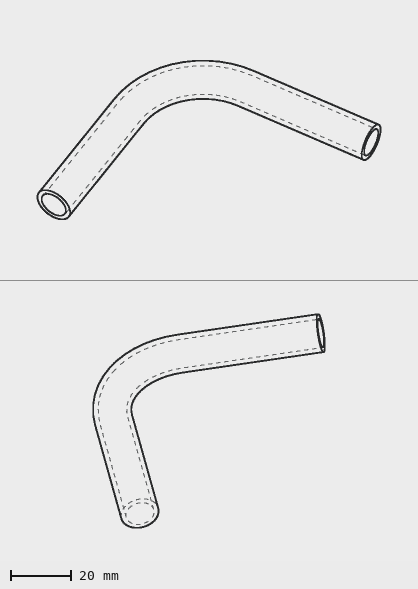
import cadquery as cq
import math

outer_diameter = 12.7
bore_diameter = 9.4
leg_length = 47.6
bend_radius = 28.6
bend_angle = 88.0


def point_on_bend(turn_degrees):
    """Centreline point after turning through the given angle; the bend starts at (0, leg_length)."""
    turn = math.radians(turn_degrees)
    x = bend_radius * (1 - math.cos(turn))
    y = leg_length + bend_radius * math.sin(turn)
    return (x, y)


def make_centreline():
    bend_end_x, bend_end_y = point_on_bend(bend_angle)
    turn = math.radians(bend_angle)
    tube_end = (
        bend_end_x + leg_length * math.sin(turn),
        bend_end_y + leg_length * math.cos(turn),
    )
    return (
        cq.Workplane("XY")
        .moveTo(0, 0)
        .lineTo(0, leg_length)
        .threePointArc(point_on_bend(bend_angle / 2), (bend_end_x, bend_end_y))
        .lineTo(*tube_end)
    )


def make_tube(path):
    return (
        cq.Workplane("XZ")
        .circle(outer_diameter / 2)
        .circle(bore_diameter / 2)
        .sweep(path)
    )


result = make_tube(make_centreline())